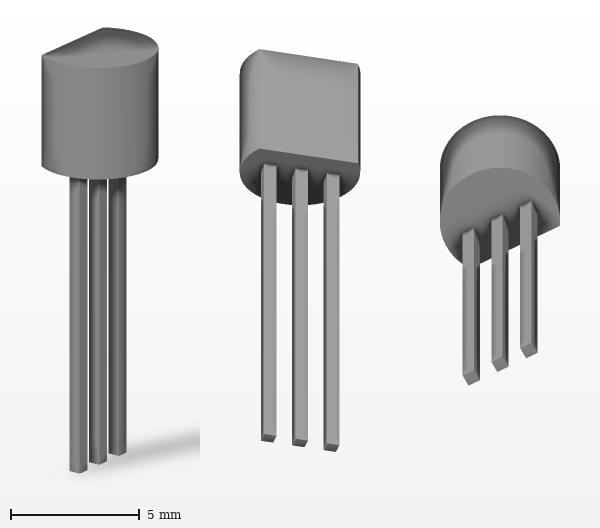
import cadquery as cq
import math

total_height = 17.1
body_height = 4.6
body_radius = 2.35
flat_distance = 1.25

lead_count = 3
lead_width = 0.5
lead_pitch = 1.27
lead_length = total_height - body_height


def make_body():
    """D-shaped body with its underside at Z = 0."""
    half_flat = math.sqrt(body_radius**2 - flat_distance**2)
    return (
        cq.Workplane("XY")
        .moveTo(-flat_distance, -half_flat)
        .threePointArc((body_radius, 0), (-flat_distance, half_flat))
        .close()
        .extrude(body_height)
    )


def make_leads():
    """Row of square leads along Y, hanging below the body."""
    return (
        cq.Workplane("XY")
        .rarray(lead_pitch, lead_pitch, 1, lead_count)
        .rect(lead_width, lead_width)
        .extrude(-lead_length)
    )


result = make_body().union(make_leads())